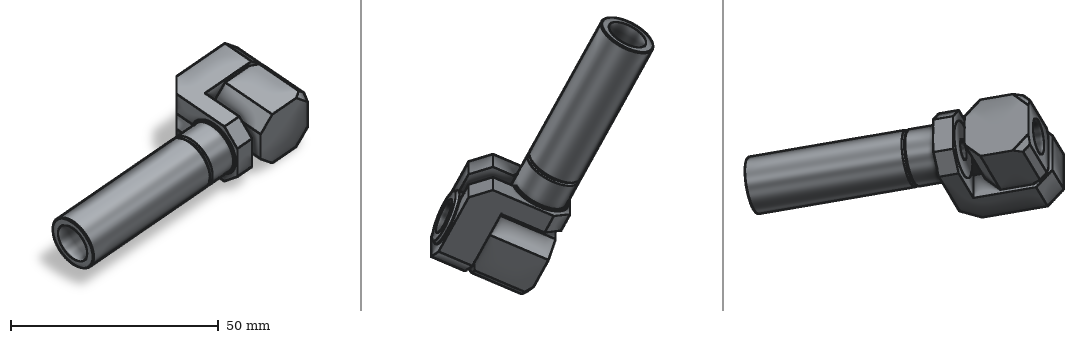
import cadquery as cq


HEIGHT = 18.0
ARM_OUTER_X = -17.0
ARM_THICKNESS = 9.05
ARM_INNER_X = ARM_OUTER_X + ARM_THICKNESS
END_X = 8.0
ARM_END_Y = 9.0
FLANGE_OUTER_Y = -16.0
FLANGE_THICKNESS = 5.05
FLANGE_INNER_Y = FLANGE_OUTER_Y + FLANGE_THICKNESS
CORNER_CHAMFER = 4.4
ARM_END_CHAMFER = 4.1
SLOT_WIDTH = 5.1
LIP_BASE_RADIUS = 7.5
LIP_TOP_RADIUS = 7.2
LIP_HEIGHT = 0.4

SHAFT_RADIUS = 7.0
SHAFT_OVERHANG = 0.95
SHAFT_CHAMFER_RADIAL = 0.5
SHAFT_CHAMFER_LENGTH = 0.7
SHAFT_FLARE = 0.45
BLOCK_WIDTH = 16.05
BLOCK_FAR_CHAMFER = 1.75
BLOCK_NEAR_CHAMFER = 3.95
BLOCK_FACET_LENGTH = 1.3
PASSAGE_RADIUS = 4.4

TUBE_RADIUS = 7.0
TUBE_LENGTH = 73.0 - (ARM_END_Y - FLANGE_INNER_Y)
TUBE_END_Y = FLANGE_INNER_Y - TUBE_LENGTH
GROOVE_START_Y = -23.35
GROOVE_WIDTH = 0.95
GROOVE_DEPTH = GROOVE_WIDTH / 2
GROOVE_END_Y = GROOVE_START_Y - GROOVE_WIDTH
TUBE_END_CHAMFER = 0.2
TUBE_BORE_RADIUS = 5.0
TUBE_INNER_RADIUS = 2.55
BORE_CONE_LENGTH = TUBE_BORE_RADIUS - TUBE_INNER_RADIUS


def revolve_about_x(points):
    """Revolve an (x, radius) profile about the X axis."""
    return cq.Workplane("XY").polyline(points).close().revolve(360, (0, 0), (1, 0))


def revolve_about_y(points):
    """Revolve a (radius, y) profile about the Y axis."""
    return cq.Workplane("XY").polyline(points).close().revolve(360, (0, 0), (0, 1))


def make_shaft():
    """Solid shaft, chamfered outside the arm and flared next to the block."""
    outer_x = ARM_OUTER_X - SHAFT_OVERHANG
    return revolve_about_x([
        (outer_x, 0),
        (outer_x, SHAFT_RADIUS - SHAFT_CHAMFER_RADIAL),
        (outer_x + SHAFT_CHAMFER_LENGTH, SHAFT_RADIUS),
        (ARM_INNER_X - SHAFT_FLARE, SHAFT_RADIUS),
        (ARM_INNER_X, SHAFT_RADIUS + SHAFT_FLARE),
        (ARM_INNER_X, 0),
    ])


def make_bracket():
    """L-shaped clamp with chamfered ends, a seat in each leg and a slot joining the seats."""
    body = (
        cq.Workplane("XY")
        .workplane(offset=-HEIGHT / 2)
        .moveTo(ARM_OUTER_X, ARM_END_Y)
        .lineTo(ARM_INNER_X, ARM_END_Y)
        .lineTo(ARM_INNER_X, FLANGE_INNER_Y)
        .lineTo(END_X, FLANGE_INNER_Y)
        .lineTo(END_X, FLANGE_OUTER_Y)
        .lineTo(ARM_OUTER_X + CORNER_CHAMFER, FLANGE_OUTER_Y)
        .lineTo(ARM_OUTER_X, FLANGE_OUTER_Y + CORNER_CHAMFER)
        .close()
        .extrude(HEIGHT)
    )
    body = body.faces(">Y").edges("|X").chamfer(ARM_END_CHAMFER)
    body = body.faces(">X").edges("|Y").chamfer(CORNER_CHAMFER)

    lip = revolve_about_y([
        (0, FLANGE_OUTER_Y),
        (LIP_BASE_RADIUS, FLANGE_OUTER_Y),
        (LIP_TOP_RADIUS, FLANGE_OUTER_Y - LIP_HEIGHT),
        (0, FLANGE_OUTER_Y - LIP_HEIGHT),
    ])
    tube_seat = (
        cq.Workplane("XZ", origin=(0, FLANGE_INNER_Y, 0))
        .circle(TUBE_RADIUS)
        .extrude(FLANGE_THICKNESS + LIP_HEIGHT)
    )
    slot_start_y = FLANGE_OUTER_Y - LIP_HEIGHT
    slot = cq.Workplane("XY").box(
        -ARM_OUTER_X, -slot_start_y, SLOT_WIDTH, centered=(False, False, True)
    ).translate((ARM_OUTER_X, slot_start_y, 0))
    return body.union(lip).cut(tube_seat).cut(make_shaft()).cut(slot)


def block_section(far_chamfer):
    """Closed YZ outline of the block with the given chamfer on its +Y corners."""
    half = BLOCK_WIDTH / 2
    near = half - BLOCK_NEAR_CHAMFER
    far = half - far_chamfer
    return [
        (-half, -near),
        (-near, -half),
        (far, -half),
        (half, -far),
        (half, far),
        (far, half),
        (-near, half),
        (-half, near),
    ]


def make_joint():
    """Block and shaft in one piece, with a passage turning from the shaft to the +Y face."""
    block = (
        cq.Workplane("YZ", origin=(ARM_INNER_X, 0, 0))
        .polyline(block_section(BLOCK_NEAR_CHAMFER)).close()
        .workplane(offset=BLOCK_FACET_LENGTH)
        .polyline(block_section(BLOCK_FAR_CHAMFER)).close()
        .workplane(offset=END_X - ARM_INNER_X - 2 * BLOCK_FACET_LENGTH)
        .polyline(block_section(BLOCK_FAR_CHAMFER)).close()
        .workplane(offset=BLOCK_FACET_LENGTH)
        .polyline(block_section(BLOCK_NEAR_CHAMFER)).close()
        .loft(ruled=True)
    )
    outer_x = ARM_OUTER_X - SHAFT_OVERHANG
    shaft_bore = cq.Workplane("YZ", origin=(outer_x, 0, 0)).circle(PASSAGE_RADIUS).extrude(-outer_x)
    cross_bore = (
        cq.Workplane("XZ", origin=(0, BLOCK_WIDTH / 2, 0))
        .circle(PASSAGE_RADIUS)
        .extrude(PASSAGE_RADIUS + BLOCK_WIDTH / 2)
    )
    return block.union(make_shaft()).cut(shaft_bore).cut(cross_bore)


def make_tube():
    """Turned tube with a wide bore that narrows through a cone inside the neck."""
    return revolve_about_y([
        (TUBE_INNER_RADIUS, FLANGE_INNER_Y),
        (TUBE_RADIUS, FLANGE_INNER_Y),
        (TUBE_RADIUS, GROOVE_START_Y),
        (TUBE_RADIUS - GROOVE_DEPTH, GROOVE_START_Y - GROOVE_WIDTH / 2),
        (TUBE_RADIUS, GROOVE_END_Y),
        (TUBE_RADIUS, TUBE_END_Y + TUBE_END_CHAMFER),
        (TUBE_RADIUS - TUBE_END_CHAMFER, TUBE_END_Y),
        (TUBE_BORE_RADIUS, TUBE_END_Y),
        (TUBE_BORE_RADIUS, GROOVE_END_Y),
        (TUBE_INNER_RADIUS, GROOVE_END_Y + BORE_CONE_LENGTH),
    ])


bracket = make_bracket()
joint = make_joint()
tube = make_tube()
result = cq.Compound.makeCompound([bracket.solids().val(), joint.solids().val(), tube.val()])